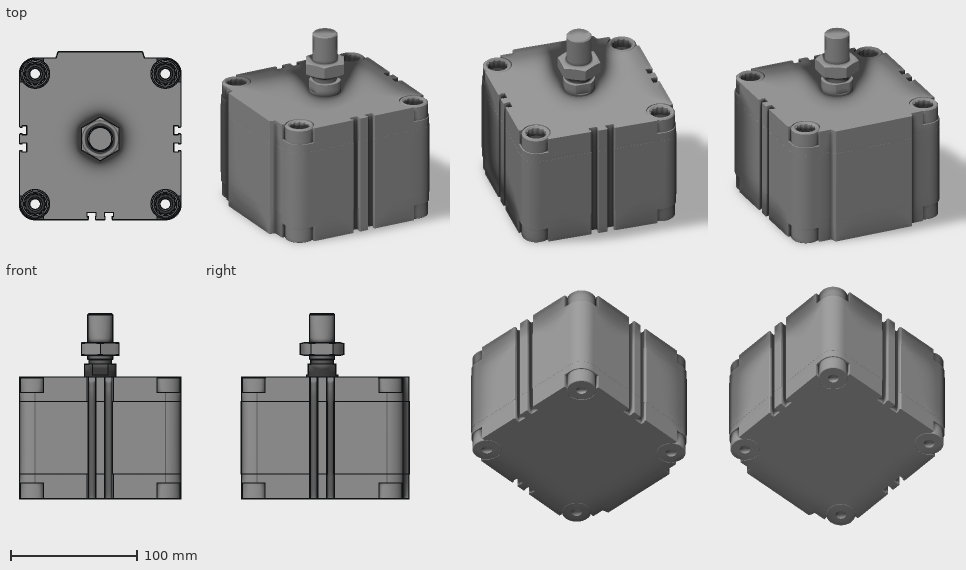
import cadquery as cq
import math


margin = 1.0
hex_half_step = 30.0

width = 128.0
half_width = width / 2
corner_radius = 12.5
housing_height = 96.5
cap_height = 19.5
barrel_height = housing_height - 2 * cap_height
cap_setback = 0.1

pad_rise = 5.0
pad_half_base = 35.0
pad_half_top = 33.4
pad_edge_fillet = 1.0

groove_floor = half_width - 5.8
lip_bottom = half_width - 2.2
front_lip_bottom = half_width - 2.6
groove_inner = 3.4
groove_outer = 10.3
mouth_inner = 3.9
mouth_outer = 9.3
small_lip_chamfer = 0.5
large_lip_chamfer = 1.0
narrow_mouth_inner = 4.3
narrow_mouth_outer = 8.9

screw_spacing = 103.0
head_diameter = 23.0
head_height = 12.5
top_head_chamfer = 1.1
bottom_head_chamfer = 0.4
notch_edge = 45.0
funnel_diameter = 18.16
funnel_throat = 15.4
funnel_depth = (funnel_diameter - funnel_throat) / 2
socket_tip_diameter = 16.5
socket_depth = 6.5
socket_relief_diameter = 16.5
socket_relief_depth = 8.5
screw_bore = 8.38
screw_bore_mouth = 11.45
screw_bore_cone = (screw_bore_mouth - screw_bore) / 2
screw_points = [
    (sx * screw_spacing / 2, sy * screw_spacing / 2) for sx in (-1, 1) for sy in (-1, 1)
]

rod_diameter = 25.0
rod_guide_depth = cap_height
collar_height = 10.0
flat_width = 22.0
flat_start = 1.5
relief_diameter = 18.16
relief_height = 3.3
thread_diameter = 20.0
thread_chamfer = (thread_diameter - relief_diameter) / 2
rod_top = housing_height + 50.0
collar_top = housing_height + collar_height

nut_across_flats = 30.0
nut_across_corners = nut_across_flats / math.cos(math.radians(hex_half_step))
nut_height = 10.0
nut_bottom = housing_height + 17.0
nut_face_diameter = 28.8
nut_chamfer_angle = 15.0


def block(setback, z_bottom, height):
    """Rounded square prism with the raised pad on its +Y side, inset by the setback all round."""
    face = half_width - setback
    pad_face = face + pad_rise
    body = (
        cq.Workplane("XY", origin=(0, 0, z_bottom))
        .rect(2 * face, 2 * face)
        .extrude(height)
        .edges("|Z")
        .fillet(corner_radius - setback)
    )
    pad = (
        cq.Workplane("XY", origin=(0, 0, z_bottom))
        .polyline([
            (-pad_half_base, 0),
            (-pad_half_base, face),
            (-pad_half_top, pad_face),
            (pad_half_top, pad_face),
            (pad_half_base, face),
            (pad_half_base, 0),
        ])
        .close()
        .extrude(height)
    )
    body = body.union(pad)
    pad_edges = cq.selectors.BoxSelector(
        (-pad_half_base - margin, face - margin, z_bottom - margin),
        (pad_half_base + margin, pad_face + margin, z_bottom + height + margin),
    )
    return body.edges("|Z").edges(pad_edges).fillet(pad_edge_fillet)


def groove(face, lip, inner, outer, inner_chamfer, outer_chamfer, z_bottom, height):
    """Cutter for one T-groove in the +Y half of the +X face; `face` is the X of that face."""
    beyond = face + margin
    return (
        cq.Workplane("XY", origin=(0, 0, z_bottom))
        .polyline([
            (groove_floor, groove_inner),
            (lip, groove_inner),
            (lip, inner),
            (face - inner_chamfer, inner),
            (face, inner - inner_chamfer),
            (beyond, inner - inner_chamfer),
            (beyond, outer + outer_chamfer),
            (face, outer + outer_chamfer),
            (face - outer_chamfer, outer),
            (lip, outer),
            (lip, groove_outer),
            (groove_floor, groove_outer),
        ])
        .close()
        .extrude(height)
    )


def section(setback, front_chamfer, upper_mouth, z_bottom, height):
    """One length of the housing, with groove pairs in both X faces and the -Y face.

    `front_chamfer` breaks the outer mouth edges on the -Y face, and `upper_mouth` gives the
    lip edges and the chamfer of the +Y groove on each X face.
    """
    face = half_width - setback
    body = block(setback, z_bottom, height)
    upper_inner, upper_outer, upper_chamfer = upper_mouth
    upper = groove(face, lip_bottom, upper_inner, upper_outer,
                   upper_chamfer, upper_chamfer, z_bottom, height)
    lower = groove(face, lip_bottom, mouth_inner, mouth_outer,
                   small_lip_chamfer, small_lip_chamfer, z_bottom, height).mirror("XZ")
    front = groove(face, front_lip_bottom, mouth_inner, mouth_outer,
                   small_lip_chamfer, front_chamfer, z_bottom, height)
    front = front.rotate((0, 0, 0), (0, 0, 1), -90)
    for cutter in (upper, lower, front):
        body = body.cut(cutter).cut(cutter.mirror("YZ"))
    return body


def make_cap(z_bottom):
    upper_mouth = (mouth_inner, mouth_outer, small_lip_chamfer)
    return section(cap_setback, large_lip_chamfer, upper_mouth, z_bottom, cap_height)


def make_barrel():
    upper_mouth = (narrow_mouth_inner, narrow_mouth_outer, large_lip_chamfer)
    return section(0, small_lip_chamfer, upper_mouth, cap_height, barrel_height)


def corner_notches(z_bottom):
    """Square cutters that clear the housing corners around the screw heads."""
    size = half_width - notch_edge
    center = notch_edge + size / 2
    return (
        cq.Workplane("XY", origin=(0, 0, z_bottom))
        .rect(2 * center, 2 * center, forConstruction=True)
        .vertices()
        .rect(size, size)
        .extrude(head_height)
    )


def head_cylinders(z_bottom):
    return (
        cq.Workplane("XY", origin=(0, 0, z_bottom))
        .pushPoints(screw_points)
        .circle(head_diameter / 2)
        .extrude(head_height)
    )


def screw_cavity():
    """Funnel, twelve-point socket, relief and through bore on the Z axis."""
    z_socket = housing_height - socket_depth
    z_floor = housing_height - socket_relief_depth
    turned = (
        cq.Workplane("XZ")
        .polyline([
            (0, 0),
            (screw_bore / 2, 0),
            (screw_bore / 2, z_floor - screw_bore_cone),
            (screw_bore_mouth / 2, z_floor),
            (socket_relief_diameter / 2, z_floor),
            (socket_relief_diameter / 2, z_socket),
            (0, z_socket),
        ])
        .close()
        .revolve()
    )
    funnel = (
        cq.Workplane("XZ")
        .moveTo(0, housing_height)
        .lineTo(funnel_diameter / 2, housing_height)
        .lineTo(funnel_throat / 2, housing_height - funnel_depth)
        .lineTo(0, housing_height - funnel_depth)
        .close()
        .revolve()
    )
    hexagon = (
        cq.Workplane("XY", origin=(0, 0, z_socket))
        .polygon(6, socket_tip_diameter)
        .extrude(socket_depth - funnel_depth / 2)
    )
    turned_hexagon = hexagon.rotate((0, 0, 0), (0, 0, 1), hex_half_step)
    return turned.union(hexagon).union(turned_hexagon).union(funnel)


def make_housing():
    top_head_base = housing_height - head_height
    top_heads = head_cylinders(top_head_base)
    bottom_heads = head_cylinders(0)
    body = make_cap(0).union(make_barrel())
    body = body.union(make_cap(housing_height - cap_height))
    for z_bottom, heads in ((0, bottom_heads), (top_head_base, top_heads)):
        body = body.cut(corner_notches(z_bottom)).cut(heads)
    body = body.union(top_heads.faces(">Z").chamfer(top_head_chamfer))
    body = body.union(bottom_heads.faces("<Z").chamfer(bottom_head_chamfer))
    cavity = screw_cavity()
    for x, y in screw_points:
        body = body.cut(cavity.translate((x, y, 0)))
    rod_guide = (
        cq.Workplane("XY", origin=(0, 0, housing_height - rod_guide_depth))
        .circle(rod_diameter / 2)
        .extrude(rod_guide_depth)
    )
    return body.cut(rod_guide)


def make_rod():
    relief_top = collar_top + relief_height
    rod = (
        cq.Workplane("XZ")
        .polyline([
            (0, housing_height - rod_guide_depth),
            (rod_diameter / 2, housing_height - rod_guide_depth),
            (rod_diameter / 2, collar_top),
            (relief_diameter / 2, collar_top),
            (relief_diameter / 2, relief_top),
            (thread_diameter / 2, relief_top + thread_chamfer),
            (thread_diameter / 2, rod_top - thread_chamfer),
            (relief_diameter / 2, rod_top),
            (0, rod_top),
        ])
        .close()
        .revolve()
    )
    for side in (-1, 1):
        flat_cutter = cq.Workplane("XY").box(
            rod_diameter, rod_diameter, collar_height - flat_start, centered=(True, True, False)
        )
        flat_y = side * (flat_width + rod_diameter) / 2
        rod = rod.cut(flat_cutter.translate((0, flat_y, housing_height + flat_start)))
    return rod


def make_nut():
    hexagon = (
        cq.Workplane("XY", origin=(0, 0, nut_bottom))
        .polygon(6, nut_across_corners)
        .extrude(nut_height)
        .rotate((0, 0, 0), (0, 0, 1), hex_half_step)
    )
    corner_drop = (nut_across_corners - nut_face_diameter) / 2 * math.tan(math.radians(nut_chamfer_angle))
    nut_top = nut_bottom + nut_height
    chamfer_envelope = (
        cq.Workplane("XZ")
        .polyline([
            (thread_diameter / 2, nut_bottom),
            (nut_face_diameter / 2, nut_bottom),
            (nut_across_corners / 2, nut_bottom + corner_drop),
            (nut_across_corners / 2, nut_top - corner_drop),
            (nut_face_diameter / 2, nut_top),
            (thread_diameter / 2, nut_top),
        ])
        .close()
        .revolve()
    )
    return hexagon.intersect(chamfer_envelope)


housing = make_housing().solids()
rod = make_rod().solids()
nut = make_nut().solids()

result = cq.Compound.makeCompound([housing.val(), rod.val(), nut.val()])